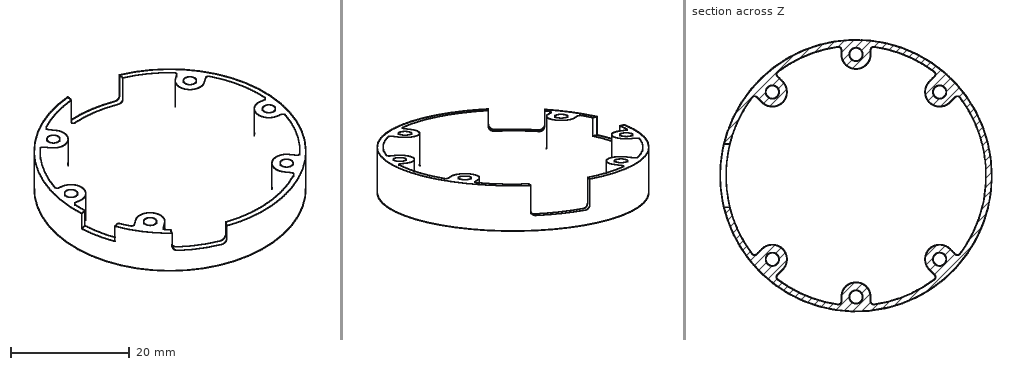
import cadquery as cq
import math

outer_diameter = 46.0
height = 8.0
wall = 1.0
floor_thickness = 2.0
floor_fillet = 0.4
corner_fillet = 0.5

boss_radius = 2.5
screw_hole_diameter = 2.2
straight_boss_distance = 20.5
diagonal_boss_distance = 20.0
boss_places = [(angle, straight_boss_distance) for angle in (90, 270)]
boss_places += [(angle, diagonal_boss_distance) for angle in (45, 135, 225, 315)]

notches = [
    (180.0, 10.65, 5.35, 0.85),
    (-22.5, 9.5, 3.7, 1.0),
    (-67.5, 6.62, 3.2, 0.0),
]

outer_radius = outer_diameter / 2
inner_radius = outer_radius - wall
cavity_depth = height - floor_thickness
overshoot = 0.45
notch_inward_margin = 1.85
notch_start = inner_radius - notch_inward_margin


def boss(angle, distance):
    """A U-shaped boss: round towards the centre, straight-sided out to the wall."""
    length = outer_radius - distance
    nose = cq.Workplane("XY").center(distance, 0).circle(boss_radius).extrude(cavity_depth)
    root = (
        cq.Workplane("XY")
        .center(distance + length / 2, 0)
        .rect(length, 2 * boss_radius)
        .extrude(cavity_depth)
    )
    return nose.union(root).rotate((0, 0, 0), (0, 0, 1), angle).translate((0, 0, floor_thickness))


def is_wall_corner(edge):
    """True for the upright edges where a boss side meets the round wall."""
    centre = edge.Center()
    return math.isclose(math.hypot(centre.x, centre.y), inner_radius, abs_tol=0.005)


def cavity():
    """The hollow inside the wall, flowing around the bosses, rounded at corners and floor."""
    hollow = (
        cq.Workplane("XY")
        .workplane(offset=floor_thickness)
        .circle(inner_radius)
        .extrude(cavity_depth)
    )
    for angle, distance in boss_places:
        hollow = hollow.cut(boss(angle, distance))
    corners = [edge for edge in hollow.edges("|Z").vals() if is_wall_corner(edge)]
    hollow = hollow.newObject(corners).fillet(corner_fillet)
    return hollow.faces("<Z").edges().fillet(floor_fillet)


def notch(angle, width, depth, corner_radius):
    """A straight-sided block that opens the wall from the rim down."""
    reach = outer_radius + overshoot - notch_start
    block = (
        cq.Workplane("XY")
        .box(reach, width, depth + overshoot, centered=(False, True, False))
        .translate((notch_start, 0, height - depth))
    )
    if corner_radius > 0:
        block = block.faces("<Z").edges("|X").fillet(corner_radius)
    return block.rotate((0, 0, 0), (0, 0, 1), angle)


result = cq.Workplane("XY").circle(outer_radius).extrude(height).cut(cavity())

for angle, width, depth, corner_radius in notches:
    result = result.cut(notch(angle, width, depth, corner_radius))

for angle, distance in boss_places:
    turn = math.radians(angle)
    screw_hole = (
        cq.Workplane("XY")
        .center(distance * math.cos(turn), distance * math.sin(turn))
        .circle(screw_hole_diameter / 2)
        .extrude(height)
    )
    result = result.cut(screw_hole)